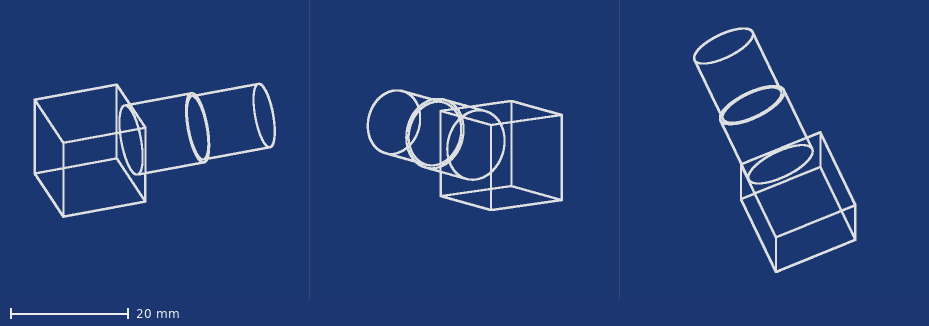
import cadquery as cq

head_size = 14.8

collar_diameter = 12.0
collar_length = 12.0
tip_diameter = 11.0
tip_length = 12.0
shank_rise = 0.6


def make_head():
    """Cube with its back face on the XZ plane, placed so the shank axis is the Y axis."""
    return cq.Workplane("XY").box(head_size, head_size, head_size).translate(
        (0, -head_size / 2, -shank_rise)
    )


def make_shank_step(diameter, start, length):
    """Cylinder along +Y, beginning at Y = start."""
    return cq.Workplane("XZ", origin=(0, start, 0)).circle(diameter / 2).extrude(-length)


head = make_head()
collar = make_shank_step(collar_diameter, 0, collar_length)
tip = make_shank_step(tip_diameter, collar_length, tip_length)

result = head.union(collar).union(tip)